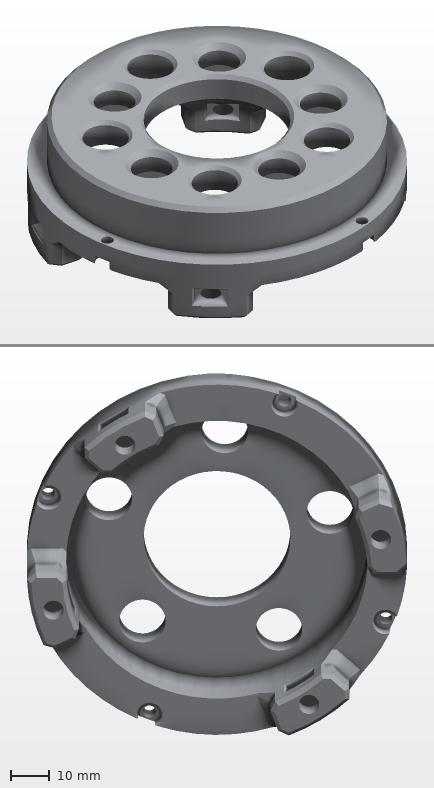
import cadquery as cq
import math

total_height = 31.0
flange_diameter = 98.4
body_diameter = 88.0
body_chamfer = 1.2
flange_bottom = 10.0
flange_top = 17.2
plate_thickness = 7.0
cavity_diameter = 78.0
bore_diameter = 38.0
bore_chamfer = 1.0

hole_count = 5
through_diameter = 12.0
through_radius = 30.1
through_chamfer = 1.0
blind_diameter = 10.8
blind_radius = 28.0
blind_chamfer = 1.6
blind_depth = 6.0

rim_hole_count = 4
rim_hole_diameter = 3.3
rim_hole_radius = 47.0
rim_counterbore_diameter = 6.3
rim_counterbore_depth = 2.5
rim_counterbore_chamfer = 0.3

leg_angle = 55.0
leg_half_angle = 13.5
leg_face_half_angle = 11.0
leg_side_outer_radius = 46.9
leg_side_inner_radius = 41.0
leg_bottom_chamfer = 1.1
leg_flare = 3.0

slot_width = 8.5
slot_bottom = 4.7
slot_top = 9.25
slot_chamfer = 0.44
leg_hole_diameter = 5.3
leg_hole_radius = 43.5

flange_radius = flange_diameter / 2
cavity_radius = cavity_diameter / 2
plate_bottom = total_height - plate_thickness


def cylinder(diameter, bottom, top):
    return cq.Workplane("XY").workplane(offset=bottom).circle(diameter / 2).extrude(top - bottom)


def polar(radius, angle):
    return (radius * math.cos(math.radians(angle)), radius * math.sin(math.radians(angle)))


def drill(diameter, depth, chamfer):
    """Round hole cutter on the Z axis, going down from the top face with a countersunk mouth."""
    mouth_radius = diameter / 2 + chamfer
    hole = cylinder(diameter, total_height - depth, total_height)
    cone = cq.Solid.makeCone(
        diameter / 2, mouth_radius, chamfer, pnt=cq.Vector(0, 0, total_height - chamfer)
    )
    return hole.union(cq.Workplane(cone))


def make_body():
    top_part = cylinder(body_diameter, flange_bottom, total_height).faces(">Z").chamfer(body_chamfer)
    body = cylinder(flange_diameter, flange_bottom, flange_top).union(top_part)
    body = body.cut(cylinder(cavity_diameter, flange_bottom, plate_bottom))
    return body.cut(drill(bore_diameter, plate_thickness, bore_chamfer))


def leg_outline():
    """Plan outline of a leg pointing along +X; its ends lie beyond the ring that clips it."""
    outer_x, outer_y = polar(leg_side_outer_radius, leg_half_angle)
    tip_x, tip_y = polar(flange_radius, leg_face_half_angle)
    inner_x, inner_y = polar(leg_side_inner_radius, leg_half_angle)
    end_x, end_y = 2 * tip_x - outer_x, 2 * tip_y - outer_y
    root_run_x, root_run_y = polar(2 * (leg_side_inner_radius - cavity_radius), leg_half_angle + 45)
    root_x, root_y = inner_x - root_run_x, inner_y - root_run_y
    upper = [(root_x, root_y), (inner_x, inner_y), (outer_x, outer_y), (end_x, end_y)]
    lower = [(x, -y) for x, y in reversed(upper)]
    return upper + lower


def make_leg(bevel_outer_foot):
    ring = cylinder(flange_diameter, 0, flange_bottom).cut(cylinder(cavity_diameter, 0, flange_bottom))
    neck_bottom = flange_bottom - leg_flare
    post = cq.Workplane("XY").polyline(leg_outline()).close().extrude(neck_bottom)
    post = post.intersect(ring)
    foot_edges = post.faces("<Z").edges()
    if not bevel_outer_foot:
        foot_edges = foot_edges.edges("not(>X)")
    post = foot_edges.chamfer(leg_bottom_chamfer)
    outline = cq.Workplane("XY").polyline(leg_outline()).close()
    neck_wire = outline.wire().val().translate(cq.Vector(0, 0, neck_bottom))
    wide_wire = outline.offset2D(leg_flare, "intersection").val().translate(cq.Vector(0, 0, flange_bottom))
    flare = cq.Workplane(cq.Solid.makeLoft([neck_wire, wide_wire], True))
    return post.union(flare.intersect(ring))


def make_leg_cutter():
    slot_height = slot_top - slot_bottom
    slot_middle = (slot_top + slot_bottom) / 2

    def section(radius, margin):
        return (
            cq.Workplane("YZ").workplane(offset=radius)
            .center(0, slot_middle)
            .rect(slot_width + 2 * margin, slot_height + 2 * margin)
        )

    half_mouth = slot_width / 2 + slot_chamfer
    outer_mouth = math.sqrt(flange_radius**2 - half_mouth**2)
    inner_mouth = math.sqrt(cavity_radius**2 - half_mouth**2)
    slot = section(inner_mouth, 0).extrude(flange_radius - inner_mouth)
    slot = slot.union(section(outer_mouth, slot_chamfer).extrude(flange_radius - outer_mouth))
    slot = slot.union(section(outer_mouth, slot_chamfer).extrude(-slot_chamfer, taper=45))
    slot = slot.union(section(inner_mouth, slot_chamfer).extrude(slot_chamfer, taper=45))
    hole = cylinder(leg_hole_diameter, 0, slot_top).translate((leg_hole_radius, 0, 0))
    return slot.union(hole)


result = make_body()

through_hole = drill(through_diameter, plate_thickness, through_chamfer)
blind_hole = drill(blind_diameter, blind_depth, blind_chamfer)
for index in range(hole_count):
    angle = 90 + index * 360 / hole_count
    result = result.cut(through_hole.translate((*polar(through_radius, angle), 0)))
    result = result.cut(blind_hole.translate((*polar(blind_radius, angle + 180), 0)))

rim_hole = cylinder(rim_hole_diameter, flange_bottom, flange_top)
rim_counterbore = cylinder(rim_counterbore_diameter, flange_bottom, flange_bottom + rim_counterbore_depth)
rim_mouth = (
    cq.Workplane("XY").workplane(offset=flange_bottom)
    .circle(rim_counterbore_diameter / 2 + rim_counterbore_chamfer)
    .extrude(rim_counterbore_chamfer, taper=45)
)
rim_hole = rim_hole.union(rim_counterbore).union(rim_mouth)
for index in range(rim_hole_count):
    angle = index * 360 / rim_hole_count
    result = result.cut(rim_hole.translate((*polar(rim_hole_radius, angle), 0)))

square_foot_angle = 180 + leg_angle
leg_cutter = make_leg_cutter()
for angle in (leg_angle, 180 - leg_angle, 180 + leg_angle, -leg_angle):
    leg = make_leg(bevel_outer_foot=angle != square_foot_angle)
    result = result.union(leg.rotate((0, 0, 0), (0, 0, 1), angle))
    result = result.cut(leg_cutter.rotate((0, 0, 0), (0, 0, 1), angle))